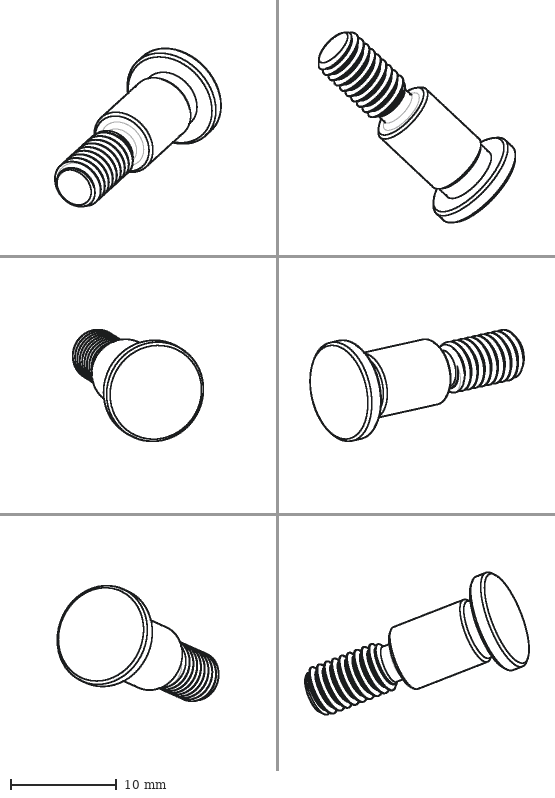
import cadquery as cq
import math

total_length = 20.65
edge_chamfer = 0.27

head_radius = 4.77
head_thickness = 1.59

shoulder_radius = 3.15
shoulder_start = 3.08
shoulder_end = 11.1
neck_radius = shoulder_radius - edge_chamfer

relief_radius = 1.8
relief_fillet = 0.5

thread_start = 12.55
thread_radius = 2.41
thread_root_radius = 1.95
crest_span = 6.35
crest_steps = 8
thread_pitch = crest_span / crest_steps
thread_crest_flat = thread_pitch / 8
thread_flank_angle = math.radians(30)
first_crest = 13.45
tip_radius = 1.84
rod_extra_turns = 5
groove_clearance = 0.08
taper_clearance = 0.2


def revolve_about_y(outline):
    return outline.close().revolve(360, (0, 0, 0), (0, 1, 0))


def make_head_and_shoulder():
    """Head, neck, shoulder and the relief behind the thread."""
    return revolve_about_y(
        cq.Workplane("XY")
        .moveTo(0, 0)
        .lineTo(head_radius - edge_chamfer, 0)
        .lineTo(head_radius, -edge_chamfer)
        .lineTo(head_radius, -(head_thickness - edge_chamfer))
        .lineTo(head_radius - edge_chamfer, -head_thickness)
        .lineTo(neck_radius, -head_thickness)
        .lineTo(neck_radius, -shoulder_start)
        .lineTo(shoulder_radius, -(shoulder_start + edge_chamfer))
        .lineTo(shoulder_radius, -(shoulder_end - edge_chamfer))
        .lineTo(shoulder_radius - edge_chamfer, -shoulder_end)
        .lineTo(relief_radius + relief_fillet, -shoulder_end)
        .radiusArc((relief_radius, -(shoulder_end + relief_fillet)), -relief_fillet)
        .lineTo(relief_radius, -thread_start)
        .lineTo(0, -thread_start)
    )


def make_thread_envelope():
    """Space the thread fills: a cylinder tapered at 45 degrees at both ends.

    The tapers reach past the crests, so only the rod itself sets the thread radius.
    """
    outer_radius = thread_radius + taper_clearance
    return revolve_about_y(
        cq.Workplane("XY")
        .moveTo(0, -thread_start)
        .lineTo(relief_radius, -thread_start)
        .lineTo(outer_radius, -(thread_start + outer_radius - relief_radius))
        .lineTo(outer_radius, -(total_length - (outer_radius - tip_radius)))
        .lineTo(tip_radius, -total_length)
        .lineTo(0, -total_length)
    )


def make_thread_groove():
    """Right-handed V groove, running out past both ends of the thread."""
    flank_slope = math.tan(thread_flank_angle)
    crest_half_width = (thread_pitch - thread_crest_flat) / 2
    root_half_width = crest_half_width - (thread_radius - thread_root_radius) * flank_slope
    outer_half_width = crest_half_width + groove_clearance * flank_slope
    outer_radius = thread_radius + groove_clearance

    turns_below_first_crest = 10.5
    runout_turns = 1.8
    groove_turns = turns_below_first_crest + runout_turns
    groove_bottom = -(first_crest + turns_below_first_crest * thread_pitch)
    path = cq.Wire.makeHelix(thread_pitch, groove_turns * thread_pitch, thread_root_radius)
    groove = (
        cq.Workplane("XZ")
        .polyline([
            (thread_root_radius, -root_half_width),
            (outer_radius, -outer_half_width),
            (outer_radius, outer_half_width),
            (thread_root_radius, root_half_width),
        ])
        .close()
        .sweep(cq.Workplane(path), isFrenet=True)
    )
    return groove.rotate((0, 0, 0), (1, 0, 0), -90).translate((0, groove_bottom, 0))


def make_thread():
    """Cut the groove in an overlong rod, then trim the rod to the envelope."""
    rod_length = total_length + rod_extra_turns * thread_pitch
    rod = cq.Workplane("XZ").circle(thread_radius).extrude(rod_length)
    return rod.cut(make_thread_groove()).intersect(make_thread_envelope())


result = make_head_and_shoulder().union(make_thread())